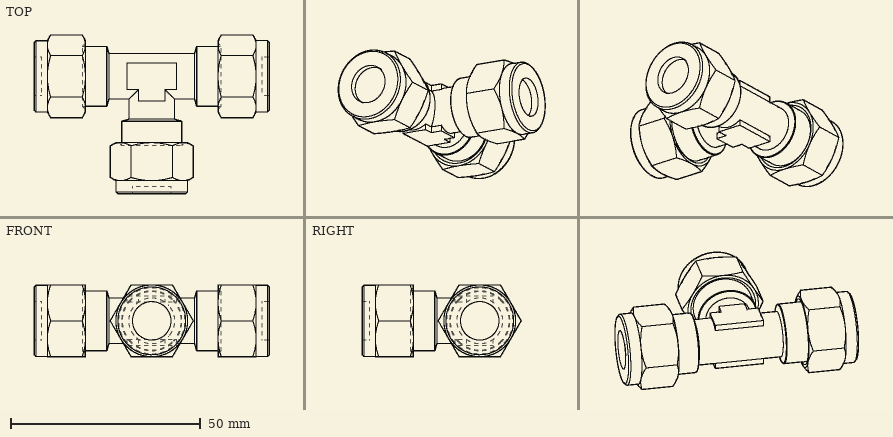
import cadquery as cq
import math

reach = 31.0

across_flats = 19.0
corner_radius = across_flats / 2 / math.cos(math.radians(30))
nut_chamfer_radius = across_flats / 2
nut_chamfer_angle = 30
nut_length = 10.05
countersink_radius = 8.75
countersink_depth = 0.8
collar_diameter = 18.9
collar_length = 3.5
collar_chamfer = 0.5

shoulder_diameter = 15.9
shoulder_length = 6.2
shoulder_edge_break = 0.2
shoulder_taper_angle = 15
neck_diameter = 12.1

bore_diameter = 10.15
bore_depth = 1.9

pad_reach = 6.5
pad_width = 6.95
pad_height = 2 * pad_reach

nut_front = reach - collar_length
nut_back = nut_front - nut_length
shoulder_back = nut_back - shoulder_length


def hex_nut():
    """Hexagon along X with flats facing +Z and -Z, chamfered at both ends and relieved at the back."""
    prism = (
        cq.Workplane("YZ", origin=(nut_back, 0, 0))
        .polygon(6, 2 * corner_radius)
        .extrude(nut_length)
    )
    chamfer_length = (corner_radius - nut_chamfer_radius) * math.tan(math.radians(nut_chamfer_angle))
    envelope = (
        cq.Workplane("XY")
        .moveTo(nut_back, 0)
        .lineTo(nut_back, nut_chamfer_radius)
        .lineTo(nut_back + chamfer_length, corner_radius)
        .lineTo(nut_front - chamfer_length, corner_radius)
        .lineTo(nut_front, nut_chamfer_radius)
        .lineTo(nut_front, 0)
        .close()
        .revolve(360, (0, 0, 0), (1, 0, 0))
    )
    relief = (
        cq.Workplane("XY")
        .moveTo(nut_back, 0)
        .lineTo(nut_back, countersink_radius)
        .lineTo(nut_back + countersink_depth, shoulder_diameter / 2)
        .lineTo(nut_back + countersink_depth, 0)
        .close()
        .revolve(360, (0, 0, 0), (1, 0, 0))
    )
    return prism.intersect(envelope).cut(relief)


def turned_body():
    """Neck, shoulder and collar of one arm, revolved about X."""
    shoulder_radius = shoulder_diameter / 2
    collar_radius = collar_diameter / 2
    neck_radius = neck_diameter / 2
    taper_radius = shoulder_radius - shoulder_edge_break
    taper_length = (taper_radius - neck_radius) * math.tan(math.radians(shoulder_taper_angle))
    taper_front = shoulder_back + taper_length
    return (
        cq.Workplane("XY")
        .lineTo(0, neck_radius)
        .lineTo(shoulder_back, neck_radius)
        .lineTo(taper_front, taper_radius)
        .lineTo(taper_front + shoulder_edge_break, shoulder_radius)
        .lineTo(nut_front, shoulder_radius)
        .lineTo(nut_front, collar_radius)
        .lineTo(reach - collar_chamfer, collar_radius)
        .lineTo(reach, collar_radius - collar_chamfer)
        .lineTo(reach, 0)
        .close()
        .revolve(360, (0, 0, 0), (1, 0, 0))
    )


def bore():
    """Tube socket cut into the port face."""
    return cq.Workplane("YZ", origin=(reach - bore_depth, 0, 0)).circle(bore_diameter / 2).extrude(bore_depth)


def centre_pads():
    """T-shaped block whose top and bottom stand proud of the necks as flat pads."""
    run_pad = cq.Workplane("XY").box(2 * pad_reach, pad_width, pad_height)
    branch_pad = cq.Workplane("XY").box(pad_width, pad_reach, pad_height).translate((0, -pad_reach / 2, 0))
    return run_pad.union(branch_pad)


arm = hex_nut().union(turned_body()).cut(bore())

result = centre_pads()
for arm_angle in (0, 180, -90):
    result = result.union(arm.rotate((0, 0, 0), (0, 0, 1), arm_angle))